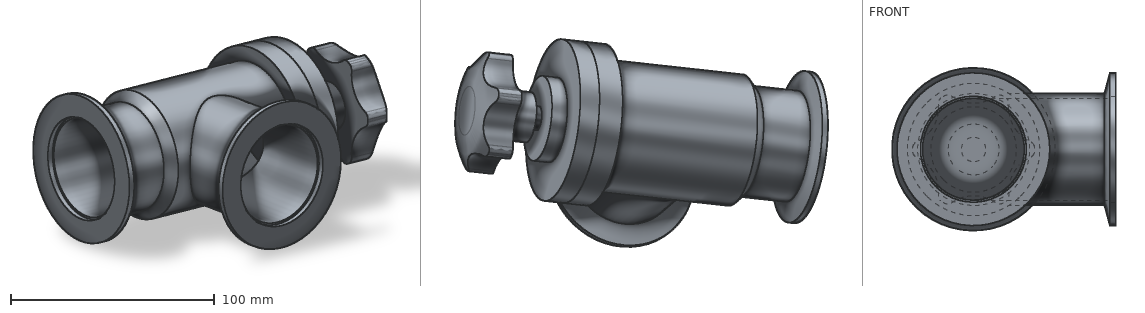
import cadquery as cq
import math


port_reach = 70.0
tube_radius = 27.5
bore_radius = 25.0
flange_radius = 37.5
flange_rim = 3.0
flange_slope = 15.0
seat_radius = 26.0
seat_depth = 3.0

body_radius = 32.5
body_start = -35.0
shoulder_length = 5.0
body_top = 50.0
joint_radius = 40.0
housing_joint_thickness = 12.0

bonnet_thickness = 10.0
boss_radius = 21.0
boss_height = 8.0
stem_radius = 6.0
stem_height = 5.0

hub_radius = 12.5
hub_height = 14.0
knob_height = 18.0
knob_radius = 30.0
lobe_count = 6
scallop_radius = 18.3
scallop_center = 41.0
lobe_fillet = 3.5
dome_flat_radius = 12.0
dome_radius = 30.0

bonnet_top = body_top + bonnet_thickness
stem_start = bonnet_top + boss_height
knob_start = stem_start + stem_height


def cylinder_y(radius, start, length):
    """Cylinder on the main axis, growing in +Y from start."""
    plane = cq.Plane(origin=(0, start, 0), xDir=(1, 0, 0), normal=(0, 1, 0))
    return cq.Workplane(plane).circle(radius).extrude(length)


def make_port():
    """Flanged tube from the origin to its face, along -Y."""
    cone_length = (flange_radius - tube_radius) * math.tan(math.radians(flange_slope))
    rim_back = -port_reach + flange_rim
    return (
        cq.Workplane("XY")
        .moveTo(0, 0)
        .lineTo(tube_radius, 0)
        .lineTo(tube_radius, rim_back + cone_length)
        .lineTo(flange_radius, rim_back)
        .lineTo(flange_radius, -port_reach)
        .lineTo(0, -port_reach)
        .close()
        .revolve(360, (0, 0, 0), (0, 1, 0))
    )


def make_port_bore():
    """Bore and centring-ring recess of one port, along -Y."""
    bore = cylinder_y(bore_radius, -port_reach, port_reach)
    seat = cylinder_y(seat_radius, -port_reach, seat_depth)
    return bore.union(seat)


def turn_to_side(shape):
    """Turn a shape lying along -Y so that it lies along +X."""
    return shape.rotate((0, 0, 0), (0, 0, 1), 90)


def make_housing():
    shoulder_start = body_start - shoulder_length
    body = (
        cq.Workplane("XY")
        .moveTo(0, shoulder_start)
        .lineTo(tube_radius, shoulder_start)
        .lineTo(body_radius, body_start)
        .lineTo(body_radius, body_top)
        .lineTo(0, body_top)
        .close()
        .revolve(360, (0, 0, 0), (0, 1, 0))
    )
    joint_flange = cylinder_y(joint_radius, body_top - housing_joint_thickness, housing_joint_thickness)
    outside = body.union(joint_flange).union(make_port()).union(turn_to_side(make_port()))
    chamber = cylinder_y(bore_radius, 0, body_top)
    return outside.cut(chamber).cut(make_port_bore()).cut(turn_to_side(make_port_bore()))


def make_bonnet():
    cover = cylinder_y(joint_radius, body_top, bonnet_thickness)
    boss = cylinder_y(boss_radius, bonnet_top, boss_height)
    stem = cylinder_y(stem_radius, stem_start, stem_height)
    return cover.union(boss).union(stem)


def make_knob_grip():
    """Lobed grip with lobes at 0, 60, 120... degrees and a rounded top edge."""
    grip_start = knob_start + hub_height
    grip_top = grip_start + knob_height
    grip = cylinder_y(knob_radius, grip_start, knob_height)
    lobe_pitch = 360 / lobe_count
    for index in range(lobe_count):
        scallop = (
            cylinder_y(scallop_radius, grip_start, knob_height)
            .translate((scallop_center, 0, 0))
            .rotate((0, 0, 0), (0, 1, 0), (index + 0.5) * lobe_pitch)
        )
        grip = grip.cut(scallop)
    grip = grip.edges("|Y").fillet(lobe_fillet)

    def dome_drop(radius):
        run = radius - dome_flat_radius
        return dome_radius - math.sqrt(dome_radius**2 - run**2)

    arc_middle = (dome_flat_radius + knob_radius) / 2
    dome = (
        cq.Workplane("XY")
        .moveTo(0, grip_start)
        .lineTo(knob_radius, grip_start)
        .lineTo(knob_radius, grip_top - dome_drop(knob_radius))
        .threePointArc(
            (arc_middle, grip_top - dome_drop(arc_middle)),
            (dome_flat_radius, grip_top),
        )
        .lineTo(0, grip_top)
        .close()
        .revolve(360, (0, 0, 0), (0, 1, 0))
    )
    return grip.intersect(dome)


def make_knob():
    hub = cylinder_y(hub_radius, knob_start, hub_height)
    return hub.union(make_knob_grip())


housing = make_housing()
bonnet = make_bonnet()
knob = make_knob()

result = cq.Compound.makeCompound([housing.val(), bonnet.val(), knob.val()])